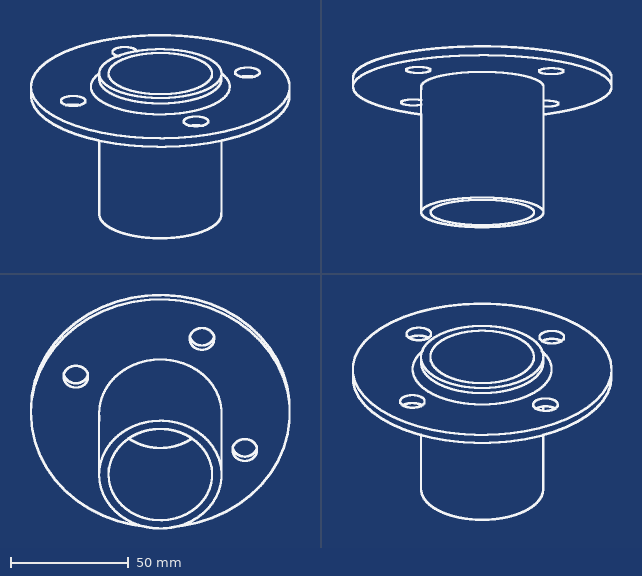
import cadquery as cq

flange_diameter = 110.0
flange_thickness = 4.0
bolt_circle_diameter = 80.0
bolt_hole_diameter = 10.5
bolt_hole_count = 4

tube_length = 65.0
tube_outer_diameter = 52.0
tube_bore_diameter = 44.0
flange_bottom = 55.0
flange_top = flange_bottom + flange_thickness

weld_leg = 3.5


def cylinder(diameter, bottom, height):
    """Solid cylinder around the Z axis."""
    return cq.Workplane("XY").workplane(offset=bottom).circle(diameter / 2).extrude(height)


def weld_cone():
    """Cone frustum that narrows from the flange top to the tube surface."""
    tube_radius = tube_outer_diameter / 2
    profile = [
        (0, flange_top),
        (tube_radius + weld_leg, flange_top),
        (tube_radius, flange_top + weld_leg),
        (0, flange_top + weld_leg),
    ]
    return cq.Workplane("XZ").polyline(profile).close().revolve(360, (0, 0), (0, 1))


def bolt_holes():
    """Cutters for the bolt holes, evenly spaced from the +X axis."""
    return (
        cq.Workplane("XY")
        .workplane(offset=flange_bottom)
        .polarArray(bolt_circle_diameter / 2, 0, 360, bolt_hole_count)
        .circle(bolt_hole_diameter / 2)
        .extrude(flange_thickness)
    )


tube = cylinder(tube_outer_diameter, 0, tube_length)
flange = cylinder(flange_diameter, flange_bottom, flange_thickness)
bore = cylinder(tube_bore_diameter, 0, tube_length)

result = tube.union(flange).union(weld_cone()).cut(bore).cut(bolt_holes())